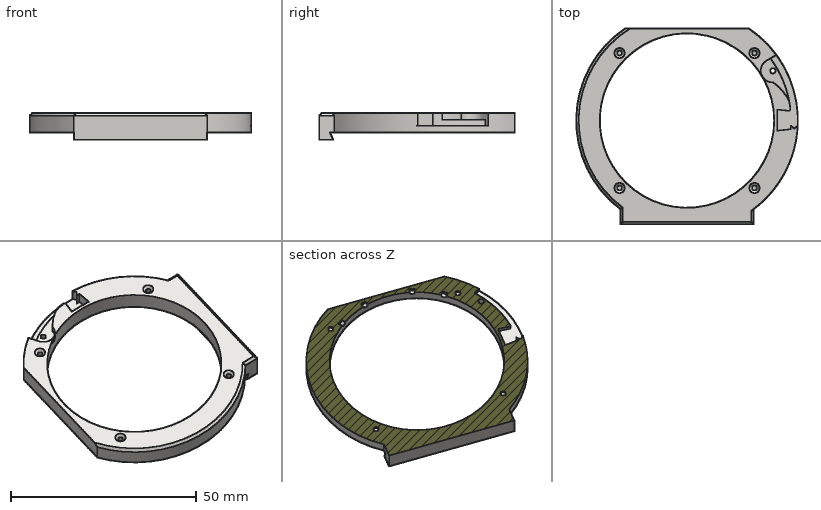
import cadquery as cq
import math

OUTER_RADIUS = 29.95
BORE_DIAMETER = 47.0
RING_HEIGHT = 5.3
BACK_FLAT_Y = 24.85
EDGE_CHAMFER = 0.7

BLOCK_WIDTH = 36.0
BLOCK_FRONT_Y = -28.05
HOOK_DROP = 2.0
HOOK_NECK = 3.0
HOOK_TIP = 3.85

SCREW_SPACING = 36.4
SCREW_DIAMETER = 1.3
SCREW_HEAD_DIAMETER = 2.75
SCREW_DEPTH = 3.0

SIDE_HOLE_DIAMETER = 1.4
SIDE_HOLE_DEPTH = 1.2
SIDE_HOLE_OFFSETS = (16.5, 37.5)

PIVOT_X = 23.2
PIVOT_Y = 13.4
PIVOT_DIAMETER = 1.4
LEVER_HEAD_RADIUS = 3.25
LEVER_END_ANGLE = 30.0
LEVER_DEPTH = 1.8
LEVER_BACK_START = (23.25, 10.3)
LEVER_BACK_MIDDLE = (25.6, 8.2)
LEVER_TIP_Y = 5.3

CHANNEL_RADIUS = 28.1
CHANNEL_DEPTH = 3.5
CATCH_INNER_X = 24.4
CATCH_TOP_Y = 2.95
CATCH_BOTTOM_Y = -2.75
CATCH_LIP_ROUND = 0.55
CATCH_LIP_DROP = 0.3
CATCH_LIP_Y = CATCH_TOP_Y - CATCH_LIP_DROP + CATCH_LIP_ROUND
TOOTH_X = 28.0
TOOTH_ROOT_Y = -2.35
TOOTH_TOP_Y = -1.4
TOOTH_VALLEY = (28.95, -2.15)

CLEARANCE = 3.0


def ring_and_block():
    """Disc with a back flat and a front block; its top edge is chamfered except on the right arc."""
    half_width = BLOCK_WIDTH / 2
    back_x = math.sqrt(OUTER_RADIUS**2 - BACK_FLAT_Y**2)
    corner_y = -math.sqrt(OUTER_RADIUS**2 - half_width**2)
    body = (
        cq.Workplane("XY")
        .moveTo(-back_x, BACK_FLAT_Y)
        .threePointArc((-OUTER_RADIUS, 0), (-half_width, corner_y))
        .lineTo(-half_width, BLOCK_FRONT_Y)
        .lineTo(half_width, BLOCK_FRONT_Y)
        .lineTo(half_width, corner_y)
        .threePointArc((OUTER_RADIUS, 0), (back_x, BACK_FLAT_Y))
        .close()
        .extrude(RING_HEIGHT)
    )
    top_edges = body.faces(">Z").edges()
    return top_edges.edges("not(>Y or >X)").chamfer(EDGE_CHAMFER)


def hook():
    """Undercut lip running along the full width of the block."""
    return (
        cq.Workplane("YZ", origin=(-BLOCK_WIDTH / 2, 0, 0))
        .polyline([
            (BLOCK_FRONT_Y, 0),
            (BLOCK_FRONT_Y, -HOOK_DROP),
            (BLOCK_FRONT_Y + HOOK_TIP, -HOOK_DROP),
            (BLOCK_FRONT_Y + HOOK_NECK, 0),
        ])
        .close()
        .extrude(BLOCK_WIDTH)
    )


def screw_hole():
    """Cutter for one blind hole with a 90 degree countersink, its mouth at the origin."""
    head_radius = SCREW_HEAD_DIAMETER / 2
    hole_radius = SCREW_DIAMETER / 2
    return (
        cq.Workplane("XZ")
        .polyline([
            (0, CLEARANCE),
            (head_radius, CLEARANCE),
            (head_radius, 0),
            (hole_radius, hole_radius - head_radius),
            (hole_radius, -SCREW_DEPTH),
            (0, -SCREW_DEPTH),
        ])
        .close()
        .revolve(360, (0, 0), (0, 1))
    )


def side_hole(angle):
    """Cutter for one blind radial hole, from the bore into the wall."""
    direction = cq.Vector(math.cos(math.radians(angle)), math.sin(math.radians(angle)), 0)
    start = direction * (BORE_DIAMETER / 2 - CLEARANCE)
    start.z = RING_HEIGHT / 2
    return cq.Solid.makeCylinder(
        SIDE_HOLE_DIAMETER / 2, CLEARANCE + SIDE_HOLE_DEPTH, start, direction
    )


def channel_wall_x(y):
    """X of the inner wall of the rim channel at a given y."""
    return math.sqrt(CHANNEL_RADIUS**2 - y**2)


def lever_and_channel():
    """Shallow recess with a round head narrowing to the lever tip, and the deeper rim channel."""
    along = cq.Vector(math.cos(math.radians(LEVER_END_ANGLE)), math.sin(math.radians(LEVER_END_ANGLE)))
    normal = cq.Vector(-along.y, along.x)
    pivot = cq.Vector(PIVOT_X, PIVOT_Y)
    head_start = pivot + normal * LEVER_HEAD_RADIUS
    head_middle = pivot - along * LEVER_HEAD_RADIUS
    across = head_start.dot(normal)
    wall_end = along * math.sqrt(CHANNEL_RADIUS**2 - across**2) + normal * across
    tip = (channel_wall_x(LEVER_TIP_Y), LEVER_TIP_Y)
    tip_angle = math.asin(LEVER_TIP_Y / CHANNEL_RADIUS)
    middle_angle = (tip_angle + math.atan2(wall_end.y, wall_end.x)) / 2
    rim_middle = (CHANNEL_RADIUS * math.cos(middle_angle), CHANNEL_RADIUS * math.sin(middle_angle))
    recess = (
        cq.Workplane("XY", origin=(0, 0, RING_HEIGHT))
        .moveTo(wall_end.x, wall_end.y)
        .lineTo(head_start.x, head_start.y)
        .threePointArc((head_middle.x, head_middle.y), LEVER_BACK_START)
        .threePointArc(LEVER_BACK_MIDDLE, tip)
        .threePointArc(rim_middle, (wall_end.x, wall_end.y))
        .close()
        .extrude(-LEVER_DEPTH)
    )
    outer_end = along * (OUTER_RADIUS + CLEARANCE) + normal * across
    outside_radius = OUTER_RADIUS + CLEARANCE
    outside_middle = (outside_radius * math.cos(middle_angle), outside_radius * math.sin(middle_angle))
    channel = (
        cq.Workplane("XY", origin=(0, 0, RING_HEIGHT))
        .moveTo(wall_end.x, wall_end.y)
        .threePointArc(rim_middle, (channel_wall_x(CATCH_LIP_Y), CATCH_LIP_Y))
        .lineTo(outside_radius, CATCH_LIP_Y)
        .threePointArc(outside_middle, (outer_end.x, outer_end.y))
        .close()
        .extrude(-CHANNEL_DEPTH)
    )
    return recess.union(channel)


def catch_pocket():
    """Pocket open to the rim, with a rounded lip above and a notched tooth below."""
    lip_x = channel_wall_x(CATCH_LIP_Y)
    tooth_tip_x = math.sqrt(OUTER_RADIUS**2 - TOOTH_TOP_Y**2)
    return (
        cq.Workplane("XY", origin=(0, 0, RING_HEIGHT))
        .moveTo(CATCH_INNER_X, CATCH_TOP_Y)
        .lineTo(lip_x - CATCH_LIP_ROUND, CATCH_TOP_Y - CATCH_LIP_DROP)
        .radiusArc((lip_x, CATCH_LIP_Y), -CATCH_LIP_ROUND)
        .lineTo(OUTER_RADIUS + CLEARANCE, CATCH_LIP_Y)
        .lineTo(OUTER_RADIUS + CLEARANCE, TOOTH_TOP_Y)
        .lineTo(tooth_tip_x, TOOTH_TOP_Y)
        .lineTo(*TOOTH_VALLEY)
        .lineTo(TOOTH_X, TOOTH_TOP_Y)
        .lineTo(TOOTH_X, TOOTH_ROOT_Y)
        .lineTo(CATCH_INNER_X, CATCH_BOTTOM_Y)
        .close()
        .extrude(-CHANNEL_DEPTH)
    )


result = ring_and_block().union(hook())
bore = cq.Workplane("XY", origin=(0, 0, -CLEARANCE)).circle(BORE_DIAMETER / 2)
bore = bore.extrude(RING_HEIGHT + 2 * CLEARANCE)
result = result.cut(bore)

for x_side in (-1, 1):
    for y_side in (-1, 1):
        position = (x_side * SCREW_SPACING / 2, y_side * SCREW_SPACING / 2, RING_HEIGHT)
        result = result.cut(screw_hole().translate(position))

for offset in SIDE_HOLE_OFFSETS:
    for side in (-1, 1):
        result = result.cut(cq.Workplane(side_hole(90 + side * offset)))

pivot_hole = cq.Workplane("XY").center(PIVOT_X, PIVOT_Y).circle(PIVOT_DIAMETER / 2).extrude(RING_HEIGHT)
result = result.cut(lever_and_channel()).cut(catch_pocket()).cut(pivot_hole)